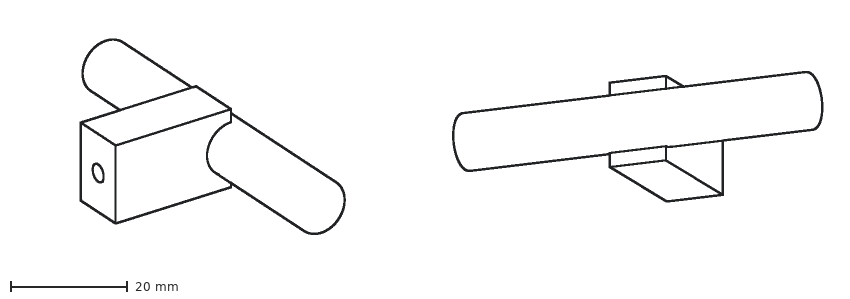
import cadquery as cq
import math

BAR_LENGTH = 65.0
BAR_DIAMETER = 10.0
BAR_END_RADIUS = 0.5

STEM_WIDTH = 10.5
STEM_HEIGHT = 15.0
STEM_LENGTH = 24.0

HOLE_DIAMETER = 3.3
HOLE_DEPTH = 12.0
DRILL_POINT_ANGLE = 118.0


def make_bar():
    bar = cq.Workplane("YZ").circle(BAR_DIAMETER / 2).extrude(BAR_LENGTH)
    bar = bar.translate((-BAR_LENGTH / 2, 0, 0))
    return bar.faces("<X or >X").fillet(BAR_END_RADIUS)


def make_stem():
    stem = cq.Workplane("XY").box(STEM_WIDTH, STEM_LENGTH, STEM_HEIGHT)
    return stem.translate((0, -STEM_LENGTH / 2, 0))


def make_screw_hole():
    radius = HOLE_DIAMETER / 2
    point_length = radius / math.tan(math.radians(DRILL_POINT_ANGLE / 2))
    wall_end = -STEM_LENGTH + HOLE_DEPTH
    half_profile = (
        cq.Workplane("XY")
        .moveTo(0, -STEM_LENGTH)
        .lineTo(radius, -STEM_LENGTH)
        .lineTo(radius, wall_end)
        .lineTo(0, wall_end + point_length)
        .close()
    )
    return half_profile.revolve(360, (0, 0, 0), (0, 1, 0))


result = make_bar().union(make_stem()).cut(make_screw_hole())